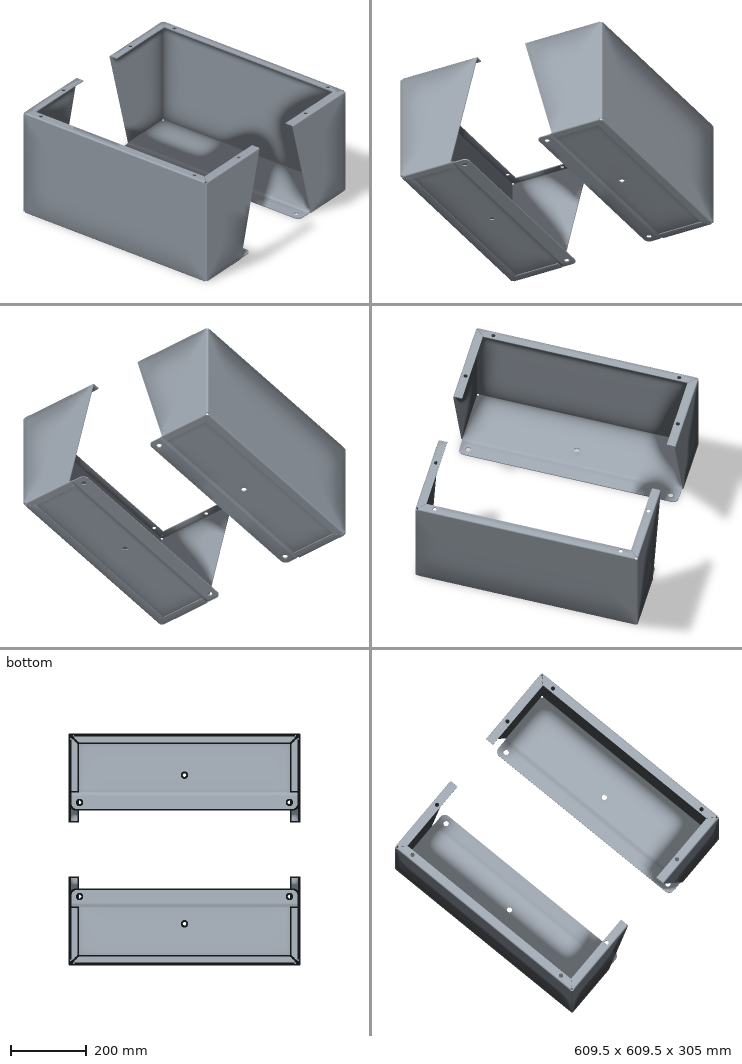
import cadquery as cq

LENGTH = 609.5
WIDTH = 609.5
HEIGHT = 305.0

SHEET = 2.75
BEND_RADIUS = 4.0
INNER_RADIUS = BEND_RADIUS - SHEET

TOP_DEPTH = 231.5
BOTTOM_DEPTH = 152.5
FLANGE = 24.5
MITRE_GAP = 0.5
CORNER_RELIEF = 7.5
FLANGE_HOLE_DIAMETER = 11.0
FLANGE_HOLE_INSET = 14.0
BACK_HOLE_FROM_END = 50.0
CHEEK_HOLE_DEPTH = 159.0

PLATE_DEPTH = 200.0
STEP_START = BOTTOM_DEPTH
STEP_END = 161.5
STEP_BEND_RADIUS = 6.0
PLATE_CORNER_RADIUS = 15.0
PLATE_HOLE_DIAMETER = 14.0
CENTRE_HOLE_DEPTH = 108.5
STRIP_HOLE_DEPTH = 180.5
STRIP_HOLE_FROM_END = 27.5

BACK = -WIDTH / 2
END = LENGTH / 2
SIDES = (-1, 1)

BEND_EDGES = "|Y or <Y"


def block(x_size, y_start, y_end, z_start, z_end):
    """Box centred on X, with Y measured from the outer face of the wall."""
    return (
        cq.Workplane("XY")
        .box(x_size, y_end - y_start, z_end - z_start, centered=(True, False, False))
        .translate((0, BACK + y_start, z_start))
    )


def folded_shell():
    """Wall, cheeks and full top and bottom sheets, with rounded bends and slanted cheek edges."""
    outer = block(LENGTH, 0, TOP_DEPTH, 0, HEIGHT)
    outer = outer.edges(BEND_EDGES).fillet(BEND_RADIUS)
    inner = block(LENGTH - 2 * SHEET, SHEET, WIDTH, SHEET, HEIGHT - SHEET)
    inner = inner.edges(BEND_EDGES).fillet(INNER_RADIUS)
    cheek_profile = (
        cq.Workplane("YZ")
        .moveTo(BACK, 0)
        .lineTo(BACK + BOTTOM_DEPTH, 0)
        .lineTo(BACK + BOTTOM_DEPTH, BEND_RADIUS)
        .lineTo(BACK + TOP_DEPTH, HEIGHT - BEND_RADIUS)
        .lineTo(BACK + TOP_DEPTH, HEIGHT)
        .lineTo(BACK, HEIGHT)
        .close()
        .extrude(END, both=True)
    )
    return outer.cut(inner).intersect(cheek_profile)


def corner_cut(side):
    """Square relief and 45 degree mitre gap at one bent corner, as a tool of full height."""
    mitre_gap = (
        cq.Workplane("XY")
        .box(2 * FLANGE, MITRE_GAP, HEIGHT, centered=(False, True, False))
        .rotate((0, 0, 0), (0, 0, 1), 90 + 45 * side)
        .translate((side * END, BACK, 0))
    )
    relief = (
        cq.Workplane("XY")
        .box(2 * CORNER_RELIEF, 2 * CORNER_RELIEF, HEIGHT, centered=(True, True, False))
        .translate((side * END, BACK, 0))
    )
    return mitre_gap.union(relief)


def flange_hole_tools():
    """Screw hole cutters for the top flange: two on the wall side and one on each cheek."""
    back_hole_x = END - BACK_HOLE_FROM_END
    cheek_hole_x = END - FLANGE_HOLE_INSET
    centres = []
    for side in SIDES:
        centres.append((side * back_hole_x, BACK + FLANGE_HOLE_INSET))
        centres.append((side * cheek_hole_x, BACK + CHEEK_HOLE_DEPTH))
    return (
        cq.Workplane("XY", origin=(0, 0, HEIGHT - SHEET))
        .pushPoints(centres)
        .circle(FLANGE_HOLE_DIAMETER / 2)
        .extrude(SHEET)
    )


def make_housing():
    """Folded sheet housing, open towards +Y."""
    body = folded_shell()

    body = body.cut(block(LENGTH - 2 * FLANGE, FLANGE, WIDTH, 0, HEIGHT))

    upright_zone = block(LENGTH, 0, TOP_DEPTH, BEND_RADIUS, HEIGHT - BEND_RADIUS)
    for side in SIDES:
        body = body.cut(corner_cut(side).cut(upright_zone))
    return body.cut(flange_hole_tools())


def make_base_plate():
    """Stepped plate that clears the bends of the housing and reaches out past its cheeks."""
    length = LENGTH - 2 * BEND_RADIUS
    body = (
        cq.Workplane("YZ")
        .moveTo(BACK + BEND_RADIUS, SHEET)
        .lineTo(BACK + STEP_START, SHEET)
        .lineTo(BACK + STEP_END, 0)
        .lineTo(BACK + PLATE_DEPTH, 0)
        .lineTo(BACK + PLATE_DEPTH, SHEET)
        .lineTo(BACK + STEP_END, SHEET)
        .lineTo(BACK + STEP_START, 2 * SHEET)
        .lineTo(BACK + BEND_RADIUS, 2 * SHEET)
        .close()
        .extrude(length / 2, both=True)
    )
    top_of_step = (0, BACK + STEP_START, 2 * SHEET)
    under_foot = (0, BACK + STEP_END, 0)
    for corner in (top_of_step, under_foot):
        body = body.edges(cq.selectors.NearestToPointSelector(corner)).fillet(STEP_BEND_RADIUS)
    body = body.edges("|Z").edges("<Y or >Y").fillet(PLATE_CORNER_RADIUS)
    strip_hole_x = END - STRIP_HOLE_FROM_END
    holes = (
        cq.Workplane("XY")
        .pushPoints(
            [
                (0, BACK + CENTRE_HOLE_DEPTH),
                (-strip_hole_x, BACK + STRIP_HOLE_DEPTH),
                (strip_hole_x, BACK + STRIP_HOLE_DEPTH),
            ]
        )
        .circle(PLATE_HOLE_DIAMETER / 2)
        .extrude(2 * SHEET)
    )
    return body.cut(holes)


HALF_TURNS = (0, 180)
housing = make_housing()
base_plate = make_base_plate()
bodies = []
for turn in HALF_TURNS:
    for part in (housing, base_plate):
        bodies.append(part.rotate((0, 0, 0), (0, 0, 1), turn).solids().val())

result = cq.Compound.makeCompound(bodies)